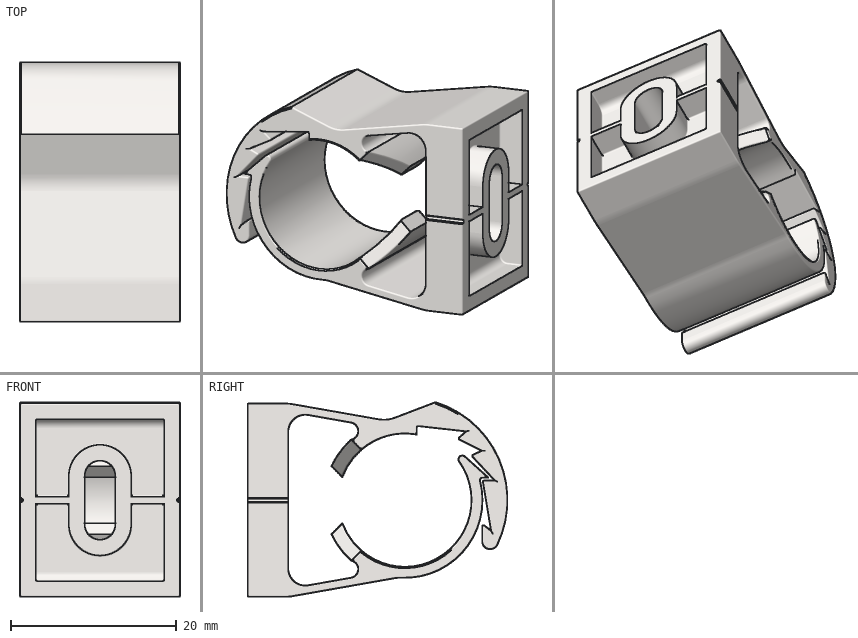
import cadquery as cq
import math

width = 19.4
length = 31.48
base_height = 23.42
base_depth = 4.95
tip_radius = 0.2
edge_radius = 0.2

bore_radius = 8.05
ring_radius = 9.4
lip_radius = 9.8
jaw_radius = 12.45
axis_y = length - jaw_radius
axis_z = 0.0

half_height = base_height / 2
strut_angle = 10.0
knee_y = 5.05
knee_radius = 5.05
valley_y = 16.87
valley_radius = 3.78
crest_z = 11.87
window_side_end = (12.53, 9.38)
window_corner_radius = 2.05
lip_tip_reach = 3.37
lip_taper_angle = 60.0
lip_cut_start = -0.6

shelf_z = 2.68
tongue_tip = (29.15, 2.75)
tongue_angle = 42.0
tongue_end_radius = 0.47
shelf_radius = 0.28

step_y = 20.5
step_z = 8.97
teeth = [
    (26.45, 8.3),
    (25.45, 7.43),
    (28.33, 5.98),
    (27.07, 5.4),
    (29.9, 2.4),
    (28.45, 2.4),
    (29.45, -3.68),
    (28.4, -2.83),
]
tooth_tips = teeth[1::2]
hook_y = 28.4
hook_radius = 0.98

rim = 1.92
pocket_depth = 3.02
pocket_radius = 1.07
rib_thickness = 0.82
slot_width = 3.7
slot_length = 9.57

groove_mouth = 0.63
groove_throat = 0.38
groove_taper = 0.2


def ring_point(radius, angle):
    """Point (y, z) on a circle about the pipe axis, angle in degrees from +Y."""
    a = math.radians(angle)
    return (axis_y + radius * math.cos(a), axis_z + radius * math.sin(a))


def ring_height(radius, y):
    """Height above the axis of the circle of that radius, at a given Y."""
    return math.sqrt(radius**2 - (y - axis_y) ** 2)


def mirrored(point):
    return (point[0], -point[1])


def offset_point(point, distance, angle):
    """Point at a distance from another, in a direction given in degrees from +Y."""
    a = math.radians(angle)
    return (point[0] + distance * math.cos(a), point[1] + distance * math.sin(a))


def lip_point(radius, reach):
    """Point on the circle of that radius, at a reach along the upper lip's 45 degree direction."""
    return ring_point(radius, 180 + 45 - math.degrees(math.acos(reach / radius)))


strut_rad = math.radians(strut_angle)
strut_slope = math.tan(strut_rad)
valley_z = half_height - (valley_y - knee_y) * strut_slope
strut_distance = (half_height - (axis_y - knee_y) * strut_slope) * math.cos(strut_rad)
strut_foot_angle = strut_angle - 90
strut_join = ring_point(
    ring_radius,
    strut_foot_angle - math.degrees(math.acos(strut_distance / ring_radius)),
)

window_corner = (
    base_depth,
    window_side_end[1] + (window_side_end[0] - base_depth) * strut_slope,
)

inner_root = lip_point(bore_radius, lip_cut_start)
outer_root = lip_point(lip_radius, lip_cut_start)
inner_tip = lip_point(bore_radius, lip_tip_reach)
outer_tip = lip_point(lip_radius, lip_tip_reach)

end_span_y = window_side_end[0] - outer_root[0]
end_span_z = window_side_end[1] - outer_root[1]
end_drop = end_span_y * math.sin(strut_rad) + end_span_z * math.cos(strut_rad)
window_end_radius = (end_span_y**2 + end_span_z**2) / (2 * end_drop)
window_end_centre = offset_point(window_side_end, window_end_radius, 270 - strut_angle)
window_end_mid = offset_point(window_end_centre, window_end_radius, 0)

back_angle = 90 - tongue_angle
back_rad = math.radians(back_angle)
back_distance = (tongue_tip[0] - axis_y) * math.cos(back_rad) + tongue_tip[1] * math.sin(back_rad)
tongue_end_distance = bore_radius + tongue_end_radius
tongue_turn = math.acos((back_distance - tongue_end_radius) / tongue_end_distance)
tongue_end_angle = back_angle - math.degrees(tongue_turn)
tongue_end_centre = ring_point(tongue_end_distance, tongue_end_angle)
tongue_shoulder = offset_point(tongue_end_centre, tongue_end_radius, back_angle)
tongue_crown = offset_point(tongue_end_centre, tongue_end_radius, back_angle + 90)

hook_run = hook_y + hook_radius - axis_y
hook_z = -math.sqrt((jaw_radius - hook_radius) ** 2 - hook_run**2)
jaw_end = ring_point(jaw_radius, math.degrees(math.atan2(hook_z, hook_run)))

crest = (axis_y + math.sqrt(jaw_radius**2 - crest_z**2), crest_z)
shelf_y = axis_y + math.sqrt(ring_radius**2 - shelf_z**2)
step_foot = (step_y, ring_height(bore_radius, step_y))


def clip_outline():
    sketch = cq.Workplane("YZ").workplane(offset=-width / 2)
    sketch = (
        sketch.moveTo(0, -half_height)
        .lineTo(knee_y, -half_height)
        .lineTo(*strut_join)
        .threePointArc(ring_point(ring_radius, -45), (shelf_y, shelf_z))
        .lineTo(*tongue_tip)
        .lineTo(*tongue_shoulder)
        .threePointArc(tongue_crown, ring_point(bore_radius, tongue_end_angle))
        .threePointArc(ring_point(bore_radius, -60), mirrored(inner_root))
    )
    sketch = (
        sketch.lineTo(*mirrored(outer_root))
        .threePointArc(mirrored(window_end_mid), mirrored(window_side_end))
        .lineTo(*mirrored(window_corner))
        .lineTo(*window_corner)
        .lineTo(*window_side_end)
        .threePointArc(window_end_mid, outer_root)
        .lineTo(*inner_root)
    )
    sketch = sketch.threePointArc(ring_point(bore_radius, 120), step_foot).lineTo(step_y, step_z)
    for point in teeth:
        sketch = sketch.lineTo(*point)
    return (
        sketch.lineTo(hook_y, hook_z)
        .threePointArc((hook_y + hook_radius, hook_z - hook_radius), jaw_end)
        .threePointArc(ring_point(jaw_radius, 10), crest)
        .lineTo(valley_y, valley_z)
        .lineTo(knee_y, half_height)
        .lineTo(0, half_height)
        .close()
    )


def round_edges(body, points, radius):
    """Round the edges along X that pass through the given (y, z) points."""
    for y, z in points:
        near = cq.selectors.NearestToPointSelector((0, y, z))
        body = body.edges("|X").edges(near).fillet(radius)
    return body


def clip_body():
    body = clip_outline().extrude(width)
    body = round_edges(body, [(knee_y, half_height), (knee_y, -half_height)], knee_radius)
    body = round_edges(body, [(valley_y, valley_z), strut_join], valley_radius)
    body = round_edges(body, [window_corner, mirrored(window_corner)], window_corner_radius)
    body = round_edges(body, [(shelf_y, shelf_z)], shelf_radius)
    body = round_edges(body, tooth_tips + [(step_y, step_z)], tip_radius)
    body = round_edges(body, [(0, half_height), (0, -half_height)], edge_radius)
    return body.faces("<X or >X").edges().fillet(edge_radius)


def upper_lip():
    """Curved lip whose ends slant inward towards its tip."""
    middle_reach = (lip_cut_start + lip_tip_reach) / 2
    curved = (
        cq.Workplane("YZ")
        .moveTo(*inner_root)
        .threePointArc(lip_point(bore_radius, middle_reach), inner_tip)
        .lineTo(*outer_tip)
        .threePointArc(lip_point(lip_radius, middle_reach), outer_root)
        .close()
        .extrude(width / 2, both=True)
    )
    root_half = width / 2 - edge_radius
    tip_half = root_half - (lip_tip_reach - lip_cut_start) * math.tan(math.radians(lip_taper_angle))
    lip_plane = cq.Plane(origin=(0, axis_y, axis_z), xDir=(1, 0, 0), normal=(0, -1, 1))
    tapered = (
        cq.Workplane(lip_plane)
        .polyline([
            (-root_half, -lip_cut_start),
            (-tip_half, -lip_tip_reach),
            (tip_half, -lip_tip_reach),
            (root_half, -lip_cut_start),
        ])
        .close()
        .extrude(length)
    )
    lip = curved.intersect(tapered)
    return lip.edges("%ELLIPSE").fillet(edge_radius)


def pocket():
    """Hollow behind the mounting face, around the slot boss and its two ribs."""
    face = cq.Workplane("XZ")
    hollow = (
        face.rect(width - 2 * rim, base_height - 2 * rim)
        .extrude(-pocket_depth)
        .faces(">Y")
        .edges("<Z or >Z")
        .fillet(pocket_radius)
    )
    boss = face.slot2D(slot_length + 2 * rim, slot_width + 2 * rim, 90).extrude(-pocket_depth)
    rib = face.rect(width, rib_thickness).extrude(-pocket_depth)
    hollow = hollow.cut(boss).cut(rib)
    return hollow.faces(">Y").edges().fillet(edge_radius)


def side_groove():
    """Round-bottomed groove with a tapered mouth along the -X side of the base."""
    face_x = -width / 2
    throat_x = face_x + groove_taper
    bottom_x = throat_x + groove_throat / 2
    return (
        cq.Workplane("XZ")
        .moveTo(face_x, -groove_mouth / 2)
        .lineTo(throat_x, -groove_throat / 2)
        .threePointArc((bottom_x, 0), (throat_x, groove_throat / 2))
        .lineTo(face_x, groove_mouth / 2)
        .close()
        .extrude(-base_depth)
    )


slot = cq.Workplane("XZ").slot2D(slot_length, slot_width, 90).extrude(-base_depth)
lip = upper_lip()
groove = side_groove()

result = (
    clip_body()
    .union(lip)
    .union(lip.mirror("XY"))
    .cut(pocket())
    .cut(slot)
    .cut(groove)
    .cut(groove.mirror("YZ"))
)